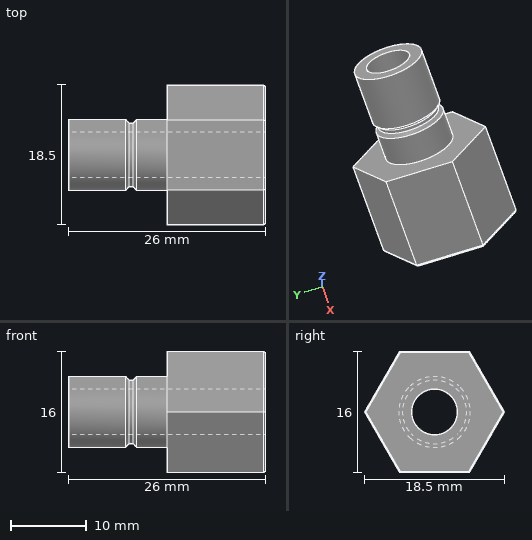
import cadquery as cq
import math

total_length = 26.0
hex_length = 13.0
hex_across_flats = 16.0
hex_chamfer_length = 0.25
hex_chamfer_depth = 0.15
spigot_diameter = 9.4
bore_diameter = 6.0

groove_start = 7.51
groove_end = 9.0
groove_depth = 0.5
groove_floor_width = 0.52

spigot_length = total_length - hex_length
spigot_radius = spigot_diameter / 2
groove_radius = spigot_radius - groove_depth
groove_wall_run = (groove_end - groove_start - groove_floor_width) / 2
hex_across_corners = hex_across_flats / math.cos(math.radians(30))


def make_hexagon():
    """Hexagonal body with corners on the Y axis and a chamfered +X end."""
    body = (
        cq.Workplane("YZ")
        .workplane(offset=spigot_length)
        .polygon(6, hex_across_corners)
        .extrude(hex_length)
    )
    return body.faces(">X").chamfer(hex_chamfer_length, hex_chamfer_depth)


def make_spigot():
    """Turned spigot with a sloped-wall groove, revolved about X."""
    return (
        cq.Workplane("XZ")
        .moveTo(0, 0)
        .lineTo(0, spigot_radius)
        .lineTo(groove_start, spigot_radius)
        .lineTo(groove_start + groove_wall_run, groove_radius)
        .lineTo(groove_end - groove_wall_run, groove_radius)
        .lineTo(groove_end, spigot_radius)
        .lineTo(spigot_length, spigot_radius)
        .lineTo(spigot_length, 0)
        .close()
        .revolve(360, (0, 0, 0), (1, 0, 0))
    )


def make_bore():
    """Straight bore through the full length."""
    return cq.Workplane("YZ").circle(bore_diameter / 2).extrude(total_length)


result = make_spigot().union(make_hexagon()).cut(make_bore())